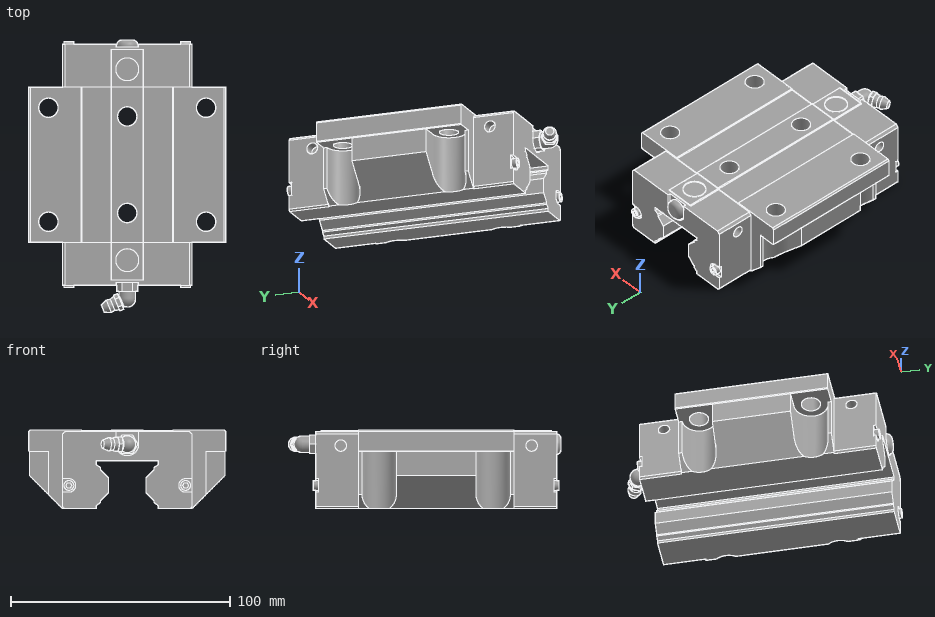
import cadquery as cq
import math

TOTAL_LENGTH = 124.5
TOTAL_HEIGHT = 36.0
FLANGE_WIDTH = 90.0
FLANGE_BOTTOM = 26.0
FLANGE_CHAMFER = 0.7
FLANGE_LOWER_CHAMFER = 0.4
BLOCK_LENGTH = 71.0

CAP_WIDTH = 59.1
CAP_HEIGHT = 35.2
CAP_END = 55.0
CAP_TOP_CHAMFER = 1.2
CAP_BOTTOM_CHAMFER = 0.9

STEP_DEPTH = 0.4
PAD_INNER_X = 21.0
STRIP_HALF_WIDTH = 7.1
STRIP_END = 52.5

HOLE_DIAMETER = 8.7
CORNER_HOLE_X = 36.0
CORNER_HOLE_Y = 26.0
CENTRE_HOLE_Y = 22.0
CLEARANCE_RADIUS = 7.8

SLOT_HALF_WIDTH = 14.1
SLOT_LEDGE = 12.2
SLOT_THROAT = 8.5
SLOT_ROOF = 21.8
UPPER_CORNER_BOTTOM = 20.0
UPPER_LEDGE_TOP = 18.8
UPPER_LEDGE_BOTTOM = 17.8
THROAT_TOP = 14.1
THROAT_BOTTOM = 7.2
LOWER_LEDGE_TOP = 3.5
LOWER_LEDGE_BOTTOM = 2.7
LOWER_CORNER_TOP = 1.4

PORT_Y = 43.6
TOP_PORT_DIAMETER = 10.5
TOP_PORT_DEPTH = 0.5
SIDE_PORT_DIAMETER = 5.2
SIDE_PORT_DEPTH = 6.2
SIDE_PORT_Z = 28.8

RECESS_DEPTH = 1.2
RECESS_FLOOR = CAP_END - RECESS_DEPTH
SCREW_X = 26.6
SCREW_Z = 10.6
SCREW_RECESS_RADIUS = 3.1
SCREW_HEAD_RADIUS = 2.2
SCREW_HEAD_HEIGHT = 2.4
SOCKET_ACROSS_CORNERS = 2.7
SOCKET_DEPTH = 1.2

LUBE_Z = 29.4
LUBE_RECESS_RADIUS = 5.2
PLUG_RADIUS = 4.9
PLUG_END = 57.0
PLUG_ROUNDING = 2.5
FITTING_HEX_FLATS = 8.5
FITTING_HEX_END = 57.8
ELBOW_RADIUS = 3.9
NIPPLE_TILT = 22.0
NIPPLE_HEX_FLATS = 6.7
NIPPLE_HEX_START = 3.2
NIPPLE_HEX_END = 5.2
NIPPLE_STEM_RADIUS = 2.7
NIPPLE_SHOULDER_RADIUS = 3.2
NIPPLE_SHOULDER_BULGE = (3.1, 6.4)
NIPPLE_NECK = 7.2
NIPPLE_HEAD_RADIUS = 3.1
NIPPLE_HEAD_END = 9.1
NIPPLE_TIP_RADIUS = 1.9
NIPPLE_LENGTH = 12.1
TILT = math.radians(NIPPLE_TILT)
NIPPLE_REACH = NIPPLE_HEAD_END * math.sin(TILT) + NIPPLE_HEAD_RADIUS * math.cos(TILT)
ELBOW_Y = PLUG_END - TOTAL_LENGTH + NIPPLE_REACH

ENDS = (-1, 1)
SIDES = (-1, 1)


def mirrored_outline(half_points):
    """Closed XZ outline from its +X half, listed from the top centre downwards."""
    other_half = [(-x, z) for x, z in reversed(half_points)]
    return cq.Workplane("XZ").polyline(half_points + other_half).close()


def box_between(x_range, y_range, z_range):
    lengths = [high - low for low, high in (x_range, y_range, z_range)]
    corner = (x_range[0], y_range[0], z_range[0])
    return cq.Workplane("XY").box(*lengths, centered=False).translate(corner)


def rod_along_y(radius, x, z, y_start, y_end):
    """Round bar with its axis along Y."""
    direction = math.copysign(1, y_end - y_start)
    plane = cq.Plane(origin=(x, y_start, z), xDir=(1, 0, 0), normal=(0, direction, 0))
    return cq.Workplane(plane).circle(radius).extrude(abs(y_end - y_start))


def across_corners(across_flats):
    return across_flats / math.cos(math.pi / 6)


def make_block():
    """Flanged steel block with 45 degree lower flanks and stepped top lands."""
    half_width = FLANGE_WIDTH / 2
    flank_x = half_width - FLANGE_LOWER_CHAMFER
    low_top = TOTAL_HEIGHT - STEP_DEPTH
    bottom_x = CAP_WIDTH / 2
    outline = [
        (STRIP_HALF_WIDTH, TOTAL_HEIGHT),
        (STRIP_HALF_WIDTH + STEP_DEPTH, low_top),
        (PAD_INNER_X - STEP_DEPTH, low_top),
        (PAD_INNER_X, TOTAL_HEIGHT),
        (half_width - FLANGE_CHAMFER, TOTAL_HEIGHT),
        (half_width, TOTAL_HEIGHT - FLANGE_CHAMFER),
        (half_width, FLANGE_BOTTOM + FLANGE_LOWER_CHAMFER),
        (flank_x, FLANGE_BOTTOM),
        (flank_x, flank_x - bottom_x),
        (bottom_x, 0),
    ]
    return mirrored_outline(outline).extrude(BLOCK_LENGTH / 2, both=True)


def make_screw_clearance():
    """Space under the flange at each corner hole, open to the side and to the block end."""
    clearance = cq.Workplane("XY")
    for side in SIDES:
        x_range = sorted((side * CORNER_HOLE_X, side * FLANGE_WIDTH))
        for end in ENDS:
            inner_y = end * (CORNER_HOLE_Y - CLEARANCE_RADIUS)
            y_range = sorted((inner_y, end * BLOCK_LENGTH / 2))
            centre = (side * CORNER_HOLE_X, end * CORNER_HOLE_Y)
            rounded = cq.Workplane("XY").center(*centre).circle(CLEARANCE_RADIUS).extrude(FLANGE_BOTTOM)
            clearance = clearance.add(rounded.union(box_between(x_range, y_range, (0, FLANGE_BOTTOM))))
    return clearance.combine()


def make_caps():
    """Both end caps as one bar through the block, with a raised strip along the top."""
    half_width = CAP_WIDTH / 2
    outline = [
        (half_width - CAP_TOP_CHAMFER, CAP_HEIGHT),
        (half_width, CAP_HEIGHT - CAP_TOP_CHAMFER),
        (half_width, CAP_BOTTOM_CHAMFER),
        (half_width - CAP_BOTTOM_CHAMFER, 0),
    ]
    strip = [
        (STRIP_HALF_WIDTH, CAP_HEIGHT + STEP_DEPTH),
        (STRIP_HALF_WIDTH + STEP_DEPTH, CAP_HEIGHT),
        (STRIP_HALF_WIDTH + STEP_DEPTH, CAP_HEIGHT - STEP_DEPTH),
    ]
    caps = mirrored_outline(outline).extrude(CAP_END, both=True)
    return caps.union(mirrored_outline(strip).extrude(STRIP_END, both=True))


def make_rail_slot():
    outline = [
        (SLOT_HALF_WIDTH, SLOT_ROOF),
        (SLOT_HALF_WIDTH, UPPER_CORNER_BOTTOM),
        (SLOT_LEDGE, UPPER_LEDGE_TOP),
        (SLOT_LEDGE, UPPER_LEDGE_BOTTOM),
        (SLOT_THROAT, THROAT_TOP),
        (SLOT_THROAT, THROAT_BOTTOM),
        (SLOT_LEDGE, LOWER_LEDGE_TOP),
        (SLOT_LEDGE, LOWER_LEDGE_BOTTOM),
        (SLOT_HALF_WIDTH, LOWER_CORNER_TOP),
        (SLOT_HALF_WIDTH, 0),
    ]
    return mirrored_outline(outline).extrude(CAP_END, both=True)


def make_vertical_holes():
    corners = [(s * CORNER_HOLE_X, e * CORNER_HOLE_Y) for s in SIDES for e in ENDS]
    middle = [(0, e * CENTRE_HOLE_Y) for e in ENDS]
    return cq.Workplane("XY").pushPoints(corners + middle).circle(HOLE_DIAMETER / 2).extrude(TOTAL_HEIGHT)


def make_cap_ports():
    """Shallow round recess on top of each cap and a blind hole in each cap side."""
    top_floor = CAP_HEIGHT + STEP_DEPTH - TOP_PORT_DEPTH
    top_points = [(0, e * PORT_Y) for e in ENDS]
    top_plane = cq.Workplane("XY").workplane(offset=top_floor)
    ports = top_plane.pushPoints(top_points).circle(TOP_PORT_DIAMETER / 2).extrude(TOTAL_HEIGHT - top_floor)
    side_points = [(e * PORT_Y, SIDE_PORT_Z) for e in ENDS]
    for side in SIDES:
        plane = cq.Workplane("YZ").workplane(offset=side * CAP_WIDTH / 2)
        side_holes = plane.pushPoints(side_points).circle(SIDE_PORT_DIAMETER / 2)
        ports = ports.add(side_holes.extrude(-side * SIDE_PORT_DEPTH))
    return ports.combine()


def make_end_recesses(end):
    """U-shaped recesses in one end face: lubrication port open upwards, screws open sideways."""
    floor = end * RECESS_FLOOR
    face = end * CAP_END
    y_range = sorted((floor, face))
    radius = LUBE_RECESS_RADIUS
    recesses = rod_along_y(radius, 0, LUBE_Z, floor, face)
    recesses = recesses.union(box_between((-radius, radius), y_range, (LUBE_Z, TOTAL_HEIGHT)))
    z_range = (SCREW_Z - SCREW_RECESS_RADIUS, SCREW_Z + SCREW_RECESS_RADIUS)
    for side in SIDES:
        x_range = sorted((side * SCREW_X, side * CAP_WIDTH / 2))
        recesses = recesses.union(rod_along_y(SCREW_RECESS_RADIUS, side * SCREW_X, SCREW_Z, floor, face))
        recesses = recesses.union(box_between(x_range, y_range, z_range))
    return recesses


def make_cap_screw(side, end):
    """Socket head of one end cap screw."""
    plane = cq.Plane(origin=(side * SCREW_X, end * RECESS_FLOOR, SCREW_Z), xDir=(1, 0, 0), normal=(0, end, 0))
    head = cq.Workplane(plane).circle(SCREW_HEAD_RADIUS).extrude(SCREW_HEAD_HEIGHT)
    socket = cq.Workplane(plane).workplane(offset=SCREW_HEAD_HEIGHT - SOCKET_DEPTH)
    return head.cut(socket.polygon(6, SOCKET_ACROSS_CORNERS).extrude(SOCKET_DEPTH))


def make_plug():
    """Rounded plug closing the lubrication port at +Y."""
    plug = rod_along_y(PLUG_RADIUS, 0, LUBE_Z, RECESS_FLOOR, PLUG_END)
    return plug.faces(">Y").edges().fillet(PLUG_ROUNDING)


def make_grease_fitting():
    """Hexagonal base, ball elbow and tilted nipple at -Y."""
    base_plane = cq.Plane(origin=(0, -RECESS_FLOOR, LUBE_Z), xDir=(1, 0, 0), normal=(0, -1, 0))
    base = cq.Workplane(base_plane).polygon(6, across_corners(FITTING_HEX_FLATS))
    base = base.extrude(FITTING_HEX_END - RECESS_FLOOR)
    neck = rod_along_y(ELBOW_RADIUS, 0, LUBE_Z, -RECESS_FLOOR, ELBOW_Y)
    elbow_centre = (0, ELBOW_Y, LUBE_Z)
    ball = cq.Workplane("XY").sphere(ELBOW_RADIUS).translate(elbow_centre)

    axis = (-math.cos(TILT), -math.sin(TILT), 0)
    across = (math.sin(TILT), -math.cos(TILT), 0)
    profile_plane = cq.Plane(origin=elbow_centre, xDir=across, normal=(0, 0, -1))
    profile = (
        cq.Workplane(profile_plane)
        .lineTo(NIPPLE_STEM_RADIUS, 0)
        .lineTo(NIPPLE_STEM_RADIUS, NIPPLE_HEX_END)
        .lineTo(NIPPLE_SHOULDER_RADIUS, NIPPLE_HEX_END)
        .threePointArc(NIPPLE_SHOULDER_BULGE, (NIPPLE_STEM_RADIUS, NIPPLE_NECK))
        .lineTo(NIPPLE_HEAD_RADIUS, NIPPLE_HEAD_END)
        .lineTo(NIPPLE_TIP_RADIUS, NIPPLE_LENGTH)
        .lineTo(0, NIPPLE_LENGTH)
        .close()
    )
    nipple = profile.revolve(360, (0, 0), (0, 1))
    hex_plane = cq.Plane(origin=elbow_centre, xDir=across, normal=axis)
    collar = cq.Workplane(hex_plane).workplane(offset=NIPPLE_HEX_START)
    collar = collar.polygon(6, across_corners(NIPPLE_HEX_FLATS)).extrude(NIPPLE_HEX_END - NIPPLE_HEX_START)
    return base.union(neck).union(ball).union(nipple).union(collar)


result = make_block().union(make_caps()).cut(make_screw_clearance())
result = result.cut(make_rail_slot()).cut(make_vertical_holes()).cut(make_cap_ports())
for end in ENDS:
    result = result.cut(make_end_recesses(end))
    for side in SIDES:
        result = result.union(make_cap_screw(side, end))
result = result.union(make_plug()).union(make_grease_fitting())